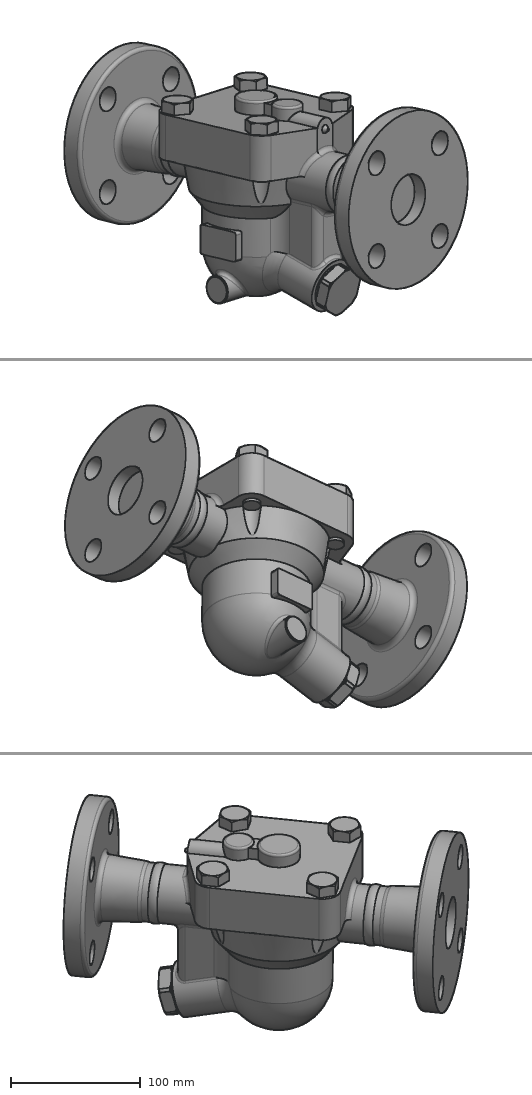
import cadquery as cq
import math


pipe_length = 290
pipe_middle_x = 10
flange_diameter = 140
flange_thickness = 16
flange_edge_radius = 3
flange_bolt_circle = 105
flange_hole_diameter = 19
port_diameter = 40
port_depth = 11
pipe_radius = 23
neck_root_radius = 25.9
neck_tip_radius = 23.8
neck_fillet = 4.2
neck_tip_offset = 32.6
neck_step_length = 2.8
bead_offset = 40.7
bead_length = 7.4
bead_height = 0.9

plate_bottom_z = 6.6
plate_top_z = 43.2
bolt_offset = 43
plate_corner_radius = 14
plate_half_width = bolt_offset + plate_corner_radius
nose_x = 70
nose_half_width = 9
pipe_fillet = 4

bolt_across_flats = 22.3
bolt_head_height = 9.3
stud_diameter = 14
stud_projection = 2.4
wrench_scallop_radius = 8.3

boss_top_z = 54.5
boss_edge_radius = 1.9
main_boss_radius = 16.4
side_boss_radius = 12
side_boss_x = 31.6
bridge_width = 15
bridge_top_z = 52.7
passage_radius = 9
passage_z = 40.6
cone_tip_length = 3.4
cone_base_radius = 3.4
cone_tip_radius = 1

bowl_radius = 41.8
dome_z = -63
bowl_top_radius = 57
shoulder_radius = 52
shoulder_z = -19.7
shoulder_foot_z = -32.4

pad_width = 36
pad_top_z = -42.4
pad_bottom_z = -66.1
pad_front_y = -44.8
pad_corner_radius = 2

drain_diameter = 22
drain_z = -91.2
drain_front_y = -46.5
drain_chamfer = 0.8
drain_fillet = 3

branch_tilt = 15
branch_radius = 22
branch_length = 79.2
branch_fillet = 15
branch_hex_start = 81.2
branch_hex_end = 91.5
branch_hex_across_flats = 36.6
branch_hex_trim_diameter = 40.7
branch_hex_chamfer = 1
branch_gasket_diameter = 36

rib_half_thickness = 16.5
rib_start_x = 20
rib_end_x = 77
rib_corner_radius = 6.5
rib_bowl_fillet = 16
rib_foot_height = 8
rib_pipe_fillet = 4.5
rib_branch_fillet = 3
rib_foot_z = dome_z - 2 * branch_radius


def hexagon_head(across_flats, height):
    """Hexagon along +Z from the origin, vertices on X, outer corners chamfered at 30 degrees."""
    corner_radius = across_flats / 2 / math.cos(math.radians(30))
    drop = (corner_radius - across_flats / 2) * math.tan(math.radians(30))
    prism = cq.Workplane("XY").polygon(6, 2 * corner_radius).extrude(height)
    trim = (
        cq.Workplane("XZ")
        .moveTo(0, 0)
        .lineTo(corner_radius, 0)
        .lineTo(corner_radius, height - drop)
        .lineTo(across_flats / 2, height)
        .lineTo(0, height)
        .close()
        .revolve(360, (0, 0), (0, 1))
    )
    return prism.intersect(trim)


def pipe_half():
    """Flange, tapered neck and pipe on the -X side, running to the middle of the pipe."""
    face_x = pipe_middle_x - pipe_length / 2
    back_x = face_x + flange_thickness
    flange_radius = flange_diameter / 2
    edge_start_x = back_x - flange_edge_radius
    neck_start_x = back_x + neck_fillet
    neck_end_x = back_x + neck_tip_offset
    bead_start_x = back_x + bead_offset
    diagonal = math.cos(math.radians(45))
    half = (
        cq.Workplane("XZ")
        .moveTo(face_x, 0)
        .lineTo(face_x, flange_radius)
        .lineTo(edge_start_x, flange_radius)
        .threePointArc(
            (edge_start_x + flange_edge_radius * diagonal,
             flange_radius - flange_edge_radius * (1 - diagonal)),
            (back_x, flange_radius - flange_edge_radius),
        )
        .lineTo(back_x, neck_root_radius + neck_fillet)
        .threePointArc(
            (neck_start_x - neck_fillet * diagonal,
             neck_root_radius + neck_fillet * (1 - diagonal)),
            (neck_start_x, neck_root_radius),
        )
        .lineTo(neck_end_x, neck_tip_radius)
        .lineTo(neck_end_x + neck_step_length, pipe_radius)
        .lineTo(bead_start_x, pipe_radius)
        .threePointArc(
            (bead_start_x + bead_length / 2, pipe_radius + bead_height),
            (bead_start_x + bead_length, pipe_radius),
        )
        .lineTo(pipe_middle_x, pipe_radius)
        .lineTo(pipe_middle_x, 0)
        .close()
        .revolve(360, (0, 0), (1, 0))
    )
    hole_span = flange_bolt_circle * diagonal
    face = cq.Workplane("YZ", origin=(face_x, 0, 0))
    holes = (
        face.rect(hole_span, hole_span, forConstruction=True)
        .vertices()
        .circle(flange_hole_diameter / 2)
        .extrude(flange_thickness)
    )
    port = face.circle(port_diameter / 2).extrude(port_depth)
    return half.cut(holes).cut(port)


def flanged_pipe():
    half = pipe_half()
    return half.union(half.mirror("YZ", (pipe_middle_x, 0, 0)))


def plate(bottom_z):
    """Square plate with rounded corners, drawn in to a narrow nose at +X."""
    to_nose_x = nose_x - bolt_offset
    to_nose_y = nose_half_width - bolt_offset
    tangent_angle = math.atan2(to_nose_y, to_nose_x) + math.acos(
        plate_corner_radius / math.hypot(to_nose_x, to_nose_y))
    tangent = (bolt_offset + plate_corner_radius * math.cos(tangent_angle),
               bolt_offset + plate_corner_radius * math.sin(tangent_angle))
    middle_angle = (tangent_angle + math.pi / 2) / 2
    middle = (bolt_offset + plate_corner_radius * math.cos(middle_angle),
              bolt_offset + plate_corner_radius * math.sin(middle_angle))
    return (
        cq.Workplane("XY", origin=(0, 0, bottom_z))
        .moveTo(-plate_half_width, -bolt_offset)
        .radiusArc((-bolt_offset, -plate_half_width), -plate_corner_radius)
        .lineTo(bolt_offset, -plate_half_width)
        .threePointArc((middle[0], -middle[1]), (tangent[0], -tangent[1]))
        .lineTo(nose_x, -nose_half_width)
        .lineTo(nose_x, nose_half_width)
        .lineTo(*tangent)
        .threePointArc(middle, (bolt_offset, plate_half_width))
        .lineTo(-bolt_offset, plate_half_width)
        .radiusArc((-plate_half_width, bolt_offset), -plate_corner_radius)
        .close()
        .extrude(plate_top_z - bottom_z)
    )


def plate_with_pipe_fillets():
    """Plate with fillets flaring onto the pipe, trimmed flush with the plate bottom."""
    deep_z = -2 * pipe_radius
    stub_length = 2 * (nose_x + 3 * pipe_fillet)
    stub = cq.Workplane("YZ").circle(pipe_radius).extrude(stub_length / 2, both=True)
    body = plate(deep_z).union(stub)
    near_pipe = cq.selectors.BoxSelector(
        (-stub_length, -pipe_radius - 1, -pipe_radius - 1),
        (stub_length, pipe_radius + 1, pipe_radius + 1), boundingbox=True)
    joint = body.edges(near_pipe).edges("not(<X or >X)").edges("not(|X)").edges("not(|Z)")
    body = joint.fillet(pipe_fillet)
    trim = cq.Workplane("XY", origin=(0, 0, deep_z)).rect(2 * stub_length, 2 * stub_length)
    return body.cut(trim.extrude(plate_bottom_z - deep_z))


def cover_bosses():
    main = cq.Workplane("XY").circle(main_boss_radius).extrude(boss_top_z)
    side = cq.Workplane("XY").center(side_boss_x, 0).circle(side_boss_radius).extrude(boss_top_z)
    main = main.faces(">Z").edges().fillet(boss_edge_radius)
    side = side.faces(">Z").edges().fillet(boss_edge_radius)
    bridge = (
        cq.Workplane("XY")
        .center(side_boss_x / 2, 0)
        .rect(side_boss_x, bridge_width)
        .extrude(bridge_top_z)
    )
    passage = (
        cq.Workplane("YZ", origin=(side_boss_x, 0, passage_z))
        .circle(passage_radius)
        .extrude(nose_x - side_boss_x)
    )
    tip = cq.Solid.makeCone(cone_base_radius, cone_tip_radius, cone_tip_length,
                            cq.Vector(nose_x, 0, passage_z), cq.Vector(1, 0, 0))
    above_bottom = cq.Workplane("XY").box(200, 200, 100, centered=(True, True, False))
    above_bottom = above_bottom.translate((0, 0, (plate_bottom_z + plate_top_z) / 2))
    return main.union(side).union(bridge).intersect(above_bottom).union(passage).union(tip)


def bolts():
    """Four hexagon heads on the cover and the stud ends under the plate."""
    head = hexagon_head(bolt_across_flats, bolt_head_height)
    stud = cq.Workplane("XY").circle(stud_diameter / 2).extrude(stud_projection + 1)
    group = cq.Workplane("XY")
    for x in (-bolt_offset, bolt_offset):
        for y in (-bolt_offset, bolt_offset):
            turn = 0 if x * y > 0 else 30
            turned_head = head.rotate((0, 0, 0), (0, 0, 1), turn)
            group = group.add(turned_head.translate((x, y, plate_top_z)))
            group = group.add(stud.translate((x, y, plate_bottom_z - stud_projection)))
    return group


def bowl():
    """Domed bowl with wrench scallops under the bolts and a filleted drain boss."""
    body = (
        cq.Workplane("XZ")
        .moveTo(0, plate_bottom_z)
        .lineTo(bowl_top_radius, plate_bottom_z)
        .lineTo(shoulder_radius, shoulder_z)
        .lineTo(bowl_radius, shoulder_foot_z)
        .lineTo(bowl_radius, dome_z)
        .radiusArc((0, dome_z - bowl_radius), bowl_radius)
        .close()
        .revolve(360, (0, 0), (0, 1))
    )
    scallops = (
        cq.Workplane("XY", origin=(0, 0, shoulder_foot_z))
        .rect(2 * bolt_offset, 2 * bolt_offset, forConstruction=True)
        .vertices()
        .circle(wrench_scallop_radius)
        .extrude(plate_bottom_z - shoulder_foot_z)
    )
    drain = (
        cq.Workplane("XZ", origin=(0, drain_front_y, drain_z))
        .circle(drain_diameter / 2)
        .extrude(drain_front_y)
        .faces("<Y").edges().chamfer(drain_chamfer)
    )
    around_drain = cq.selectors.BoxSelector(
        (-drain_diameter, drain_front_y + 2, drain_z - drain_diameter),
        (drain_diameter, 0, drain_z + drain_diameter), boundingbox=True)
    body = body.union(drain)
    body = body.edges(around_drain).fillet(drain_fillet)
    return body.cut(scallops)


def nameplate_pad():
    return (
        cq.Workplane("XZ", origin=(0, pad_front_y, (pad_top_z + pad_bottom_z) / 2))
        .rect(pad_width, pad_top_z - pad_bottom_z)
        .extrude(pad_front_y / 2)
        .edges("|Y").fillet(pad_corner_radius)
    )


def tilted(shape):
    """Move a shape built along +Z onto the strainer axis."""
    return shape.rotate((0, 0, 0), (0, 1, 0), 90 + branch_tilt).translate((0, 0, dome_z))


def branch_tube():
    return tilted(cq.Workplane("XY").circle(branch_radius).extrude(branch_length))


def branch_flare():
    """Root of the strainer branch, blending tube into dome with an arc tangent to both."""
    arc_centre_radius = branch_radius + branch_fillet
    arc_centre_s = math.sqrt((bowl_radius + branch_fillet) ** 2 - arc_centre_radius ** 2)
    to_dome = bowl_radius / (bowl_radius + branch_fillet)
    flare = (
        cq.Workplane("XZ")
        .moveTo(0, 0)
        .lineTo(arc_centre_radius * to_dome, arc_centre_s * to_dome)
        .radiusArc((branch_radius, arc_centre_s), branch_fillet)
        .lineTo(0, arc_centre_s)
        .close()
        .revolve(360, (0, 0), (0, 1))
    )
    return tilted(flare)


def strainer_plug():
    gasket = (
        cq.Workplane("XY", origin=(0, 0, branch_length))
        .circle(branch_gasket_diameter / 2)
        .extrude(branch_hex_start - branch_length)
    )
    hexagon_diameter = branch_hex_across_flats / math.cos(math.radians(30))
    head = (
        cq.Workplane("XY", origin=(0, 0, branch_hex_start))
        .polygon(6, hexagon_diameter)
        .extrude(branch_hex_end - branch_hex_start)
    )
    corner_trim = (
        cq.Workplane("XY", origin=(0, 0, branch_hex_start))
        .circle(branch_hex_trim_diameter / 2)
        .extrude(branch_hex_end - branch_hex_start)
        .edges().chamfer(branch_hex_chamfer)
    )
    return tilted(gasket.union(head.intersect(corner_trim)))


def stop_inside_branch(web):
    """Cut a web off along a plane inside the strainer branch."""
    block_size = 2 * pipe_length
    below = cq.Workplane("XY").box(block_size, block_size, block_size)
    return web.cut(tilted(below.translate((block_size / 2 - rib_foot_height, 0, 0))))


def rib():
    """Vertical web from inside the bowl to a rounded end, between pipe and strainer branch."""
    web = (
        cq.Workplane("XY", origin=((rib_start_x + rib_end_x) / 2, 0, rib_foot_z))
        .rect(rib_end_x - rib_start_x, 2 * rib_half_thickness)
        .extrude(-rib_foot_z)
        .edges("|Z and >X").fillet(rib_corner_radius)
    )
    return stop_inside_branch(web)


def rib_root():
    """Root of the rib, flaring into the bowl with arcs tangent to both."""
    flare_y = rib_half_thickness + rib_bowl_fillet
    flare_x = math.sqrt((bowl_radius + rib_bowl_fillet) ** 2 - flare_y ** 2)
    to_bowl = bowl_radius / (bowl_radius + rib_bowl_fillet)
    root = (
        cq.Workplane("XY", origin=(0, 0, rib_foot_z))
        .moveTo(0, 0)
        .lineTo(flare_x * to_bowl, -flare_y * to_bowl)
        .radiusArc((flare_x, -rib_half_thickness), rib_bowl_fillet)
        .lineTo(flare_x, rib_half_thickness)
        .radiusArc((flare_x * to_bowl, flare_y * to_bowl), rib_bowl_fillet)
        .close()
        .extrude(-rib_foot_z)
    )
    return stop_inside_branch(root)


def joint_edges(body, first, second):
    """Edges of the body lying on the surface of both given parts."""
    first_skin = first.val().Shells()[0]
    second_skin = second.val().Shells()[0]
    tolerance = 1e-3
    found = []
    for edge in body.edges().vals():
        point = cq.Vertex.makeVertex(*edge.positionAt(0.3).toTuple())
        if point.distance(first_skin) < tolerance and point.distance(second_skin) < tolerance:
            found.append(edge)
    return body.newObject(found)


def casting():
    """Pipe, bowl and strainer branch joined by the filleted rib."""
    web = rib()
    pipe = flanged_pipe()
    tube = branch_tube()
    body = pipe.union(tube).union(web)
    body = joint_edges(body, pipe, web).fillet(rib_pipe_fillet)
    body = joint_edges(body, tube, web).fillet(rib_branch_fillet)
    return body.union(rib_root()).union(branch_flare()).union(bowl())


result = (
    casting()
    .union(plate_with_pipe_fillets())
    .union(nameplate_pad())
    .union(strainer_plug())
    .union(cover_bosses())
)
for piece in bolts().vals():
    result = result.union(cq.Workplane(piece))